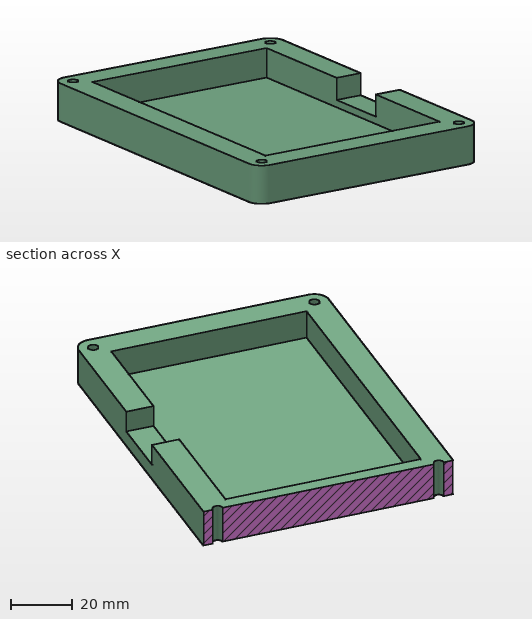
import cadquery as cq

LENGTH = 119.02
WIDTH = 87.17
HEIGHT = 13.0
CORNER_RADIUS = 5.0

WALL_THICKNESS = 9.5
POCKET_LENGTH = LENGTH - 2 * WALL_THICKNESS
POCKET_WIDTH = WIDTH - 2 * WALL_THICKNESS
FLOOR_THICKNESS = 3.0
POCKET_DEPTH = HEIGHT - FLOOR_THICKNESS

NOTCH_LENGTH = 22.5
NOTCH_START = 50.0
NOTCH_CENTER_X = NOTCH_START + (NOTCH_LENGTH - LENGTH) / 2
NOTCH_DEPTH = 7.5

HOLE_DIAMETER = 3.4
HOLE_SPACING_X = LENGTH - 2 * CORNER_RADIUS
HOLE_SPACING_Y = WIDTH - 2 * CORNER_RADIUS


def tray_block():
    """Solid block with rounded vertical corners, standing on Z = 0."""
    block = cq.Workplane("XY").box(LENGTH, WIDTH, HEIGHT, centered=(True, True, False))
    return block.edges("|Z").fillet(CORNER_RADIUS)


def pocket():
    """Volume removed from the top to leave the floor and four walls."""
    base = cq.Workplane("XY").workplane(offset=FLOOR_THICKNESS)
    return base.rect(POCKET_LENGTH, POCKET_WIDTH).extrude(POCKET_DEPTH)


def wall_notch():
    """Volume removed from the top of the +Y wall, from the pocket to the outside."""
    wall_center_y = (WIDTH - WALL_THICKNESS) / 2
    base = cq.Workplane("XY").workplane(offset=HEIGHT - NOTCH_DEPTH)
    outline = base.center(NOTCH_CENTER_X, wall_center_y).rect(NOTCH_LENGTH, WALL_THICKNESS)
    return outline.extrude(NOTCH_DEPTH)


def corner_holes():
    """Four cylinders removed through the full height at the corners."""
    centers = cq.Workplane("XY").rect(HOLE_SPACING_X, HOLE_SPACING_Y, forConstruction=True).vertices()
    return centers.circle(HOLE_DIAMETER / 2).extrude(HEIGHT)


result = tray_block().cut(pocket()).cut(wall_notch()).cut(corner_holes())